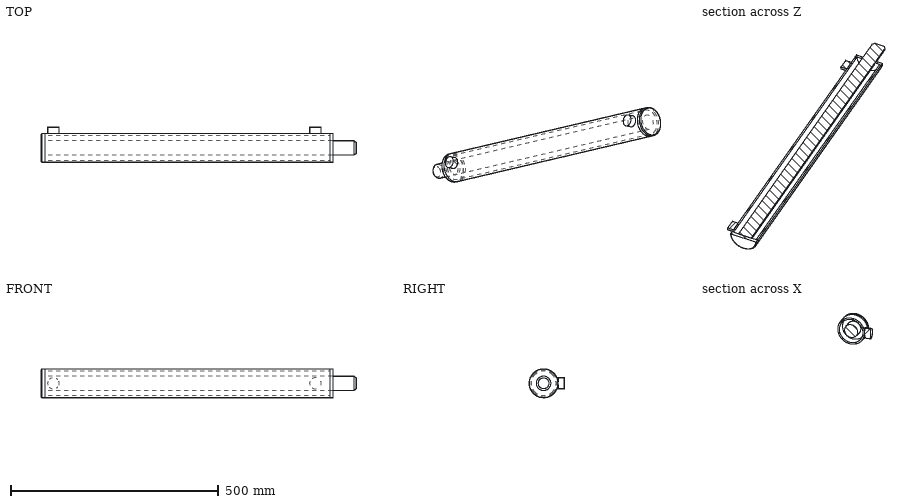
import cadquery as cq

total_length = 760.0
body_diameter = 70.0
body_length = 704.0

wall = 5.0
end_cap_thickness = 10.0
end_cap_chamfer = 2.0
gland_thickness = 7.5
bore_diameter = body_diameter - 2 * wall
tube_length = body_length - end_cap_thickness - gland_thickness
gland_start = body_length - gland_thickness

rod_diameter = 35.0
rod_chamfer_length = 6.0
rod_chamfer_depth = 4.5
rod_length = total_length - end_cap_thickness

port_diameter = 27.0
port_height = 15.0
port_positions = (30.0, 661.0)


def x_cylinder(start, length, diameter):
    """Solid cylinder on the X axis, running toward +X from start."""
    return cq.Workplane("YZ", origin=(start, 0, 0)).circle(diameter / 2).extrude(length)


def make_tube():
    """Plain tube between the two end discs."""
    tube = x_cylinder(end_cap_thickness, tube_length, body_diameter)
    return tube.cut(x_cylinder(end_cap_thickness, tube_length, bore_diameter))


def make_end_cap():
    """Disc closing the blind end, chamfered around its outer face."""
    return x_cylinder(0, end_cap_thickness, body_diameter).faces("<X").chamfer(end_cap_chamfer)


def make_gland():
    """Disc closing the rod end, bored for the rod."""
    gland = x_cylinder(gland_start, gland_thickness, body_diameter)
    return gland.cut(x_cylinder(gland_start, gland_thickness, rod_diameter))


def make_rod():
    """Round rod with a chamfered outer end."""
    rod = x_cylinder(end_cap_thickness, rod_length, rod_diameter)
    return rod.faces(">X").chamfer(rod_chamfer_length, rod_chamfer_depth)


def make_port(position):
    """Flat-based round boss tangent to the tube at its +Y side."""
    base = cq.Plane(origin=(position, body_diameter / 2, 0), xDir=(1, 0, 0), normal=(0, 1, 0))
    return cq.Workplane(base).circle(port_diameter / 2).extrude(port_height)


tube = make_tube()
end_cap = make_end_cap()
gland = make_gland()
rod = make_rod()
ports = [make_port(position).val() for position in port_positions]

result = cq.Compound.makeCompound([tube.val(), end_cap.val(), gland.val(), rod.val(), *ports])